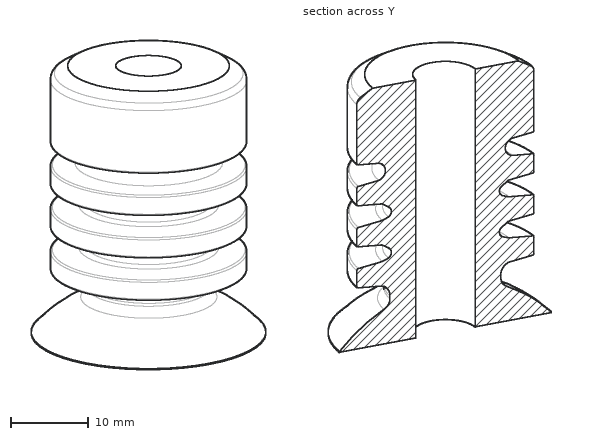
import cadquery as cq
import math


total_height = 36.5
rim_radius = 25.5 / 2
body_bottom = 26.0
top_face_radius = 10.5
top_cone_angle = 30.0
top_edge_fillet = 1.0
bore_diameter = 8.5

rib_count = 3
rib_pitch = 5.8
lowest_rib_center = 10.0
rib_height = 2.75
flank_angle = 6.0
rim_fillet = 0.25

groove_flank_radius = 9.1
groove_neck_radius = 7.8
groove_arc_bottom = (8.2, -0.82)
groove_arc_middle_offset = -0.17
groove_arc_top = (8.0, 0.4)

top_groove_neck_radius = 8.65
top_groove_lower_radius = 9.6
top_groove_upper_radius = 9.7

neck_radius = 16.0 / 2
neck_bottom = 6.3
neck_top = 6.7
cup_radius = 30.5 / 2
lip_height = 0.15
cup_wall_middle = (12.1, 2.96)
cup_top = (8.85, 4.95)
cup_fillet_middle = (8.2, 5.55)


def flank_rise(radius):
    """Height change of a sloping flank between the rim and the given radius."""
    return (rim_radius - radius) * math.tan(math.radians(flank_angle))


def rib_center(index):
    return lowest_rib_center + index * rib_pitch


def rib_bottom(index):
    return rib_center(index) - rib_height / 2


def rib_top(index):
    return rib_center(index) + rib_height / 2


def add_cup_and_neck(profile):
    """Domed cup wall, then the neck that flares into the lowest rib."""
    flare_end = rib_bottom(0) - flank_rise(groove_flank_radius)
    return (
        profile.lineTo(cup_radius, 0)
        .lineTo(cup_radius, lip_height)
        .threePointArc(cup_wall_middle, cup_top)
        .threePointArc(cup_fillet_middle, (neck_radius, neck_bottom))
        .lineTo(neck_radius, neck_top)
        .tangentArcPoint((groove_flank_radius, flare_end), relative=False)
    )


def add_rib(profile, index):
    """Rim of one rib, entered along its lower flank."""
    return profile.lineTo(rim_radius, rib_bottom(index)).lineTo(rim_radius, rib_top(index))


def add_groove(profile, index):
    """Groove between the rib with this index and the next one up."""
    middle = rib_center(index) + rib_pitch / 2
    arc_bottom_radius, arc_bottom_offset = groove_arc_bottom
    arc_top_radius, arc_top_offset = groove_arc_top
    lower_flank_end = rib_top(index) + flank_rise(groove_flank_radius)
    upper_flank_start = rib_bottom(index + 1) - flank_rise(groove_flank_radius)
    return (
        profile.lineTo(groove_flank_radius, lower_flank_end)
        .lineTo(arc_bottom_radius, middle + arc_bottom_offset)
        .threePointArc(
            (groove_neck_radius, middle + groove_arc_middle_offset),
            (arc_top_radius, middle + arc_top_offset),
        )
        .lineTo(groove_flank_radius, upper_flank_start)
    )


def add_top_groove(profile):
    """Round groove between the highest rib and the body."""
    arc_bottom = rib_top(rib_count - 1) + flank_rise(top_groove_lower_radius)
    arc_top = body_bottom - flank_rise(top_groove_upper_radius)
    return profile.lineTo(top_groove_lower_radius, arc_bottom).threePointArc(
        (top_groove_neck_radius, (arc_bottom + arc_top) / 2),
        (top_groove_upper_radius, arc_top),
    )


def add_body(profile):
    """Straight body wall and the cone around the top face."""
    cone_drop = (rim_radius - top_face_radius) * math.tan(math.radians(top_cone_angle))
    return (
        profile.lineTo(rim_radius, body_bottom)
        .lineTo(rim_radius, total_height - cone_drop)
        .lineTo(top_face_radius, total_height)
        .lineTo(0, total_height)
    )


def revolved_blank():
    profile = add_cup_and_neck(cq.Workplane("XZ"))
    for index in range(rib_count):
        profile = add_rib(profile, index)
        if index < rib_count - 1:
            profile = add_groove(profile, index)
    profile = add_body(add_top_groove(profile))
    return profile.close().revolve(360, (0, 0, 0), (0, 1, 0))


def is_rim_edge(edge):
    tolerance = 1e-4
    return edge.geomType() == "CIRCLE" and abs(edge.radius() - rim_radius) < tolerance


def round_rims(blank):
    """Large fillet on the body's top edge, small ones on every other rim edge."""
    rim_split_height = body_bottom + rim_fillet
    top_edge = blank.edges().filter(lambda e: is_rim_edge(e) and e.Center().z > rim_split_height)
    top_rounded = top_edge.fillet(top_edge_fillet)
    lower_rims = top_rounded.edges().filter(lambda e: is_rim_edge(e) and e.Center().z < rim_split_height)
    return lower_rims.fillet(rim_fillet)


def cut_bore(part):
    return part.faces(">Z").workplane().hole(bore_diameter)


result = cut_bore(round_rims(revolved_blank()))